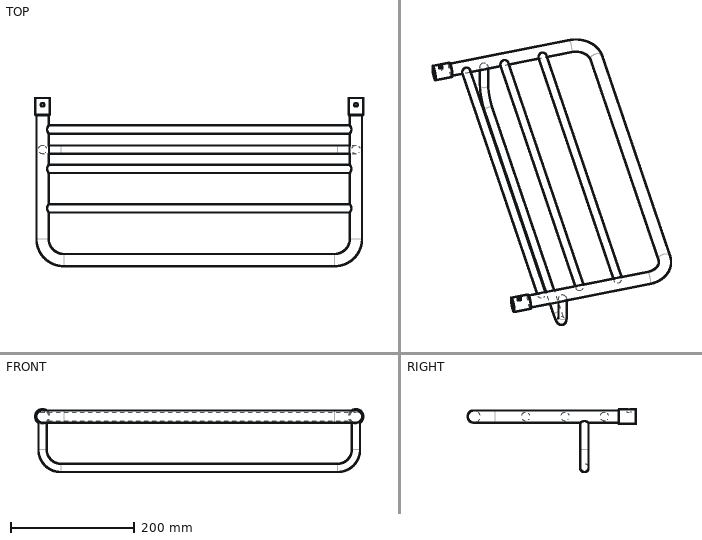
import cadquery as cq

overall_width = 532.0
overall_depth = 273.0
overall_height = 102.0
frame_diameter = 20.0
rod_diameter = 14.0
sleeve_diameter = 24.0

rail_x = (overall_width - sleeve_diameter) / 2
front_y = frame_diameter / 2 - overall_depth
frame_bend_radius = 34.5

sleeve_length = 28.0
sleeve_edge_chamfer = 1.0
screw_hole_diameter = 6.0
screw_hole_y = -11.0
screw_hole_depth = 5.5

first_rod_y = -51.0
rod_spacing = 64.0
rod_count = 3

loop_y = -83.5
loop_z = sleeve_diameter / 2 - overall_height + rod_diameter / 2
loop_bend_radius = 30.0


def bent_tube(plane, half_width, end_depth, bend_radius, diameter):
    """Round U-shaped bar whose legs start on the local X axis and run toward local -Y."""
    bend_start = end_depth + bend_radius
    straight_half = half_width - bend_radius
    path = (
        cq.Workplane(plane)
        .moveTo(-half_width, 0)
        .lineTo(-half_width, bend_start)
        .radiusArc((-straight_half, end_depth), -bend_radius)
        .lineTo(straight_half, end_depth)
        .radiusArc((half_width, bend_start), -bend_radius)
        .lineTo(half_width, 0)
    )
    start = path.plane.toWorldCoords((-half_width, 0))
    section_plane = cq.Plane(origin=start, xDir=path.plane.xDir, normal=-path.plane.yDir)
    return cq.Workplane(section_plane).circle(diameter / 2).sweep(path)


def shelf_rod(y):
    """Straight rod joining the axes of the two side rails."""
    return (
        cq.Workplane("YZ", origin=(-rail_x, y, 0))
        .circle(rod_diameter / 2)
        .extrude(2 * rail_x)
    )


def wall_sleeve(x):
    """Collar at the back end of a side rail, chamfered at its front edge."""
    return (
        cq.Workplane("XZ", origin=(x, 0, 0))
        .circle(sleeve_diameter / 2)
        .extrude(sleeve_length)
        .faces("<Y")
        .chamfer(sleeve_edge_chamfer)
    )


def screw_hole(x):
    """Blind hole cut down into the top of a sleeve."""
    return (
        cq.Workplane("XY", origin=(x, screw_hole_y, sleeve_diameter / 2))
        .circle(screw_hole_diameter / 2)
        .extrude(-screw_hole_depth)
    )


result = bent_tube("XY", rail_x, front_y, frame_bend_radius, frame_diameter)

loop_plane = cq.Plane(origin=(0, loop_y, 0), xDir=(1, 0, 0), normal=(0, -1, 0))
result = result.union(bent_tube(loop_plane, rail_x, loop_z, loop_bend_radius, rod_diameter))

for index in range(rod_count):
    result = result.union(shelf_rod(first_rod_y - index * rod_spacing))

for side_x in (-rail_x, rail_x):
    result = result.union(wall_sleeve(side_x)).cut(screw_hole(side_x))